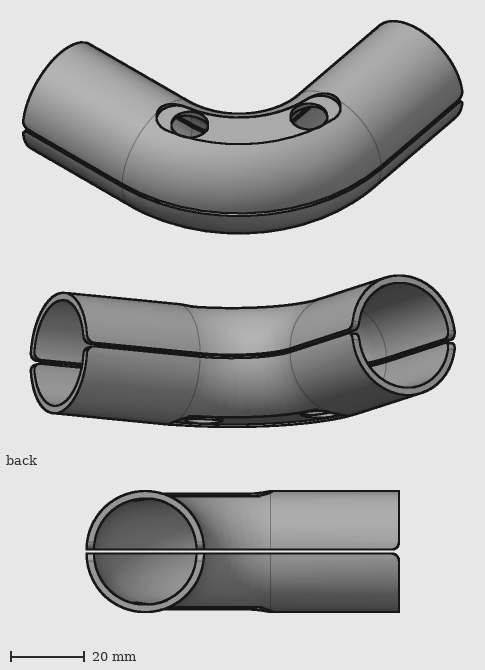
import cadquery as cq
import math

overall_size = 85.0
tube_radius = 16.0
wall = 2.0
bend_radius = 34.0
parting_gap = 1.0
corner_radius = 2.0

recess_radius = 33.15
recess_width = 11.05
recess_depth = 1.45
recess_end_angle = 8.7
hole_diameter = 10.0
hole_angle = 15.6

straight_length = overall_size - bend_radius - tube_radius
half_gap = parting_gap / 2
crown_height = half_gap + tube_radius
recess_floor = crown_height - recess_depth


def bend_point(radius, angle):
    """Point on an arc about the bend centre, angle in degrees clockwise from +X."""
    return (radius * math.cos(math.radians(angle)), -radius * math.sin(math.radians(angle)))


def elbow_rod(radius):
    """Solid round elbow: one leg along -X, a quarter bend, one leg along +Y."""
    leg_x = (
        cq.Workplane("YZ")
        .center(-bend_radius, half_gap)
        .circle(radius)
        .extrude(-straight_length)
    )
    bend = (
        cq.Workplane("YZ")
        .center(-bend_radius, half_gap)
        .circle(radius)
        .revolve(90, (bend_radius, 0), (bend_radius, 1))
    )
    leg_y = (
        cq.Workplane("XZ")
        .center(bend_radius, half_gap)
        .circle(radius)
        .extrude(-straight_length)
    )
    return leg_x.union(bend).union(leg_y)


def recess_cutter():
    """Curved slot with round ends, open above the recess floor."""
    inner = recess_radius - recess_width / 2
    outer = recess_radius + recess_width / 2
    start_angle = recess_end_angle
    end_angle = 90 - recess_end_angle
    band = (
        cq.Workplane("XY", origin=(0, 0, recess_floor))
        .moveTo(*bend_point(inner, start_angle))
        .threePointArc(bend_point(inner, 45), bend_point(inner, end_angle))
        .lineTo(*bend_point(outer, end_angle))
        .threePointArc(bend_point(outer, 45), bend_point(outer, start_angle))
        .close()
        .extrude(tube_radius)
    )
    ends = (
        cq.Workplane("XY", origin=(0, 0, recess_floor))
        .pushPoints([bend_point(recess_radius, angle) for angle in (start_angle, end_angle)])
        .circle(recess_width / 2)
        .extrude(tube_radius)
    )
    return band.union(ends)


def hole_cutter():
    """Two vertical holes through the wall, placed evenly about the middle of the bend."""
    return (
        cq.Workplane("XY")
        .pushPoints([bend_point(recess_radius, angle) for angle in (hole_angle, 90 - hole_angle)])
        .circle(hole_diameter / 2)
        .extrude(2 * tube_radius)
    )


def shell_half():
    """Upper half of the split elbow, with rounded corners where the split meets the ends."""
    elbow = elbow_rod(tube_radius).cut(elbow_rod(tube_radius - wall))
    block_size = 4 * overall_size
    above_split = (
        cq.Workplane("XY", origin=(0, 0, half_gap))
        .rect(block_size, block_size)
        .extrude(overall_size)
    )
    half = elbow.intersect(above_split)
    leg_x_corners = half.faces("<X").edges("<Z and |Y")
    leg_y_corners = half.faces(">Y").edges("<Z and |X")
    half = half.newObject(leg_x_corners.vals() + leg_y_corners.vals()).fillet(corner_radius)
    return half.cut(recess_cutter()).cut(hole_cutter())


upper_shell = shell_half()
lower_shell = upper_shell.mirror("XY")

result = cq.Compound.makeCompound([upper_shell.val(), lower_shell.val()])